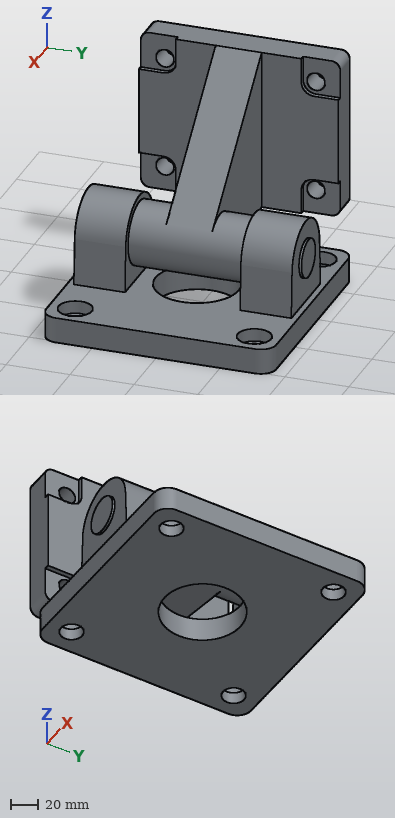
import cadquery as cq
import math

pivot_height = 55
pin_diameter = 30
pin_length = 174

base_size = 180
base_thickness = 20
base_corner_radius = 12
base_hole_spacing = 140
base_hole_diameter = 18
counterbore_diameter = 26
counterbore_depth = 10
centre_hole_diameter = 65

lug_radius = 30
lug_outer_span = 170
lug_inner_span = 90
lug_taper_angle = math.radians(2.5)

plate_width = 156
plate_height = 126
plate_thickness = 25
plate_corner_radius = 7
plate_back_x = -base_size / 2
plate_front_x = plate_back_x - plate_thickness
plate_bottom_z = 45
plate_top_z = plate_bottom_z + plate_height
plate_centre_z = (plate_bottom_z + plate_top_z) / 2
plate_hole_edge_distance = 19
plate_hole_diameter = 14
relief_radius = 10
relief_depth = 4

barrel_diameter = 50
web_thickness = 36


def cylinder_on_pivot(diameter, length):
    """Cylinder on the pivot axis, centred on Y = 0."""
    return (
        cq.Workplane("XZ", origin=(0, length / 2, pivot_height))
        .circle(diameter / 2)
        .extrude(length)
    )


def make_lug_pair():
    """Two round-topped lugs whose tapered sides run tangent into the top arc."""
    tangent_x = lug_radius * math.cos(lug_taper_angle)
    tangent_z = pivot_height + lug_radius * math.sin(lug_taper_angle)
    foot_x = tangent_x + (tangent_z - base_thickness) * math.tan(lug_taper_angle)
    lugs = (
        cq.Workplane("XZ", origin=(0, lug_outer_span / 2, 0))
        .moveTo(-foot_x, base_thickness)
        .lineTo(foot_x, base_thickness)
        .lineTo(tangent_x, tangent_z)
        .threePointArc((0, pivot_height + lug_radius), (-tangent_x, tangent_z))
        .close()
        .extrude(lug_outer_span)
    )
    gap_height = pivot_height + lug_radius - base_thickness
    gap = (
        cq.Workplane("XY", origin=(0, 0, base_thickness))
        .box(2 * foot_x, lug_inner_span, gap_height, centered=(True, True, False))
    )
    return lugs.cut(gap)


def make_base():
    """Square plate with counterbored corner holes, a centre hole and two bored lugs."""
    plate = (
        cq.Workplane("XY")
        .rect(base_size, base_size)
        .extrude(base_thickness)
        .edges("|Z")
        .fillet(base_corner_radius)
        .faces(">Z")
        .workplane()
        .rect(base_hole_spacing, base_hole_spacing, forConstruction=True)
        .vertices()
        .cboreHole(base_hole_diameter, counterbore_diameter, counterbore_depth)
        .faces(">Z")
        .workplane()
        .hole(centre_hole_diameter)
    )
    return plate.union(make_lug_pair()).cut(cylinder_on_pivot(pin_diameter, pin_length))


def make_corner_relief(side_y, side_z):
    """Cutter for one back corner of the mounting plate, rounded about the bolt hole."""
    size = plate_hole_edge_distance + relief_radius
    centre_y = side_y * (plate_width - size) / 2
    centre_z = plate_centre_z + side_z * (plate_height - size) / 2
    inner_edge = cq.selectors.NearestToPointSelector(
        (plate_back_x - relief_depth / 2, centre_y - side_y * size / 2, centre_z - side_z * size / 2)
    )
    return (
        cq.Workplane("XY", origin=(plate_back_x - relief_depth / 2, centre_y, centre_z))
        .box(relief_depth, size, size)
        .edges(inner_edge)
        .fillet(relief_radius)
    )


def make_mounting_plate():
    """Upright plate with four bolt holes and a relief behind each of them."""
    hole_spacing_y = plate_width - 2 * plate_hole_edge_distance
    hole_spacing_z = plate_height - 2 * plate_hole_edge_distance
    front_plane = cq.Workplane("YZ", origin=(plate_front_x, 0, plate_centre_z))
    plate = (
        front_plane
        .rect(plate_width, plate_height)
        .extrude(plate_thickness)
        .edges("|X")
        .fillet(plate_corner_radius)
    )
    holes = (
        front_plane
        .rect(hole_spacing_y, hole_spacing_z, forConstruction=True)
        .vertices()
        .circle(plate_hole_diameter / 2)
        .extrude(plate_thickness)
    )
    plate = plate.cut(holes)
    for side_y in (-1, 1):
        for side_z in (-1, 1):
            plate = plate.cut(make_corner_relief(side_y, side_z))
    return plate


def barrel_tangent_point(start_z, side):
    """Point where a line from the plate's back face touches the barrel, above (1) or below (-1)."""
    rise = start_z - pivot_height
    distance = math.hypot(plate_back_x, rise)
    start_direction = math.atan2(rise, plate_back_x)
    direction = start_direction - side * math.acos(barrel_diameter / 2 / distance)
    return (
        barrel_diameter / 2 * math.cos(direction),
        pivot_height + barrel_diameter / 2 * math.sin(direction),
    )


def make_web():
    """Web that narrows from the plate's full height to tangents on the barrel."""
    return (
        cq.Workplane("XZ", origin=(0, web_thickness / 2, 0))
        .moveTo(plate_back_x, plate_bottom_z)
        .lineTo(*barrel_tangent_point(plate_bottom_z, -1))
        .lineTo(0, pivot_height)
        .lineTo(*barrel_tangent_point(plate_top_z, 1))
        .lineTo(plate_back_x, plate_top_z)
        .close()
        .extrude(web_thickness)
    )


def make_swing_arm():
    """Mounting plate, web, barrel and pivot pin in one piece."""
    barrel = cylinder_on_pivot(barrel_diameter, lug_inner_span)
    pin = cylinder_on_pivot(pin_diameter, pin_length)
    return make_mounting_plate().union(make_web()).union(barrel).union(pin)


base = make_base()
swing_arm = make_swing_arm()
result = cq.Compound.makeCompound([base.solids().val(), swing_arm.solids().val()])